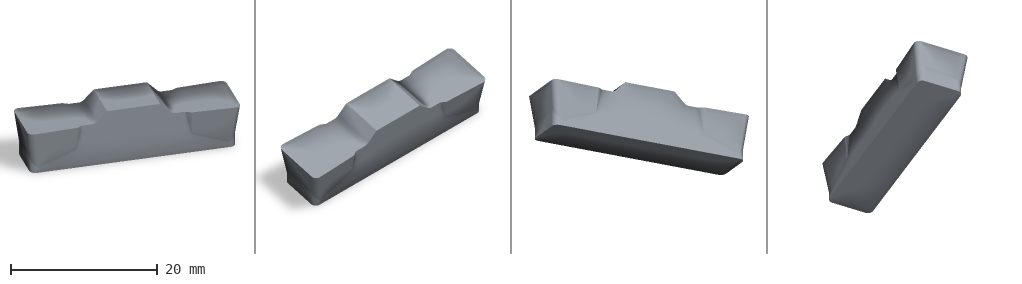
import cadquery as cq
import math

length = 30.2
height = 8.1
shelf_height = 6.37
body_width = 6.6
relief_angle = 7.0
corner_radius = 0.82

crown_length = 7.55
ramp_radius = 1.03

head_end_width = 8.12
head_neck_width = 7.5
head_length = 7.0
neck_angle = 30.0
head_embed = 0.3

body_end_height = 2.25
relief_slope = math.tan(math.radians(relief_angle))
body_length = length - 2 * (shelf_height - body_end_height) * relief_slope


def make_body():
    """Long bar with a raised crown and rounded vertical corners."""
    half_length = body_length / 2
    half_crown = crown_length / 2
    ramp_foot = half_crown + height - shelf_height
    profile = [
        (-half_length, 0),
        (half_length, 0),
        (half_length, shelf_height),
        (ramp_foot, shelf_height),
        (half_crown, height),
        (-half_crown, height),
        (-ramp_foot, shelf_height),
        (-half_length, shelf_height),
    ]
    body = cq.Workplane("YZ").polyline(profile).close().extrude(body_width / 2, both=True)
    body = body.edges("|Z").fillet(corner_radius)
    for y in (-ramp_foot, ramp_foot):
        foot_edge = cq.selectors.NearestToPointSelector((0, y, shelf_height))
        body = body.edges(foot_edge).fillet(ramp_radius)
    return body


def make_head():
    """Relieved cutting head at the -Y end, narrowing downward on all sides."""
    tip_y = -length / 2
    neck_y = tip_y + head_length
    half_end = head_end_width / 2
    half_neck = head_neck_width / 2
    half_inner = body_width / 2 - head_embed
    inner_y = neck_y + (half_neck - half_inner) / math.tan(math.radians(neck_angle))
    outline = [
        (-half_end, tip_y),
        (half_end, tip_y),
        (half_neck, neck_y),
        (half_inner, inner_y),
        (-half_inner, inner_y),
        (-half_neck, neck_y),
    ]
    head = (
        cq.Workplane("XY", origin=(0, 0, shelf_height))
        .polyline(outline)
        .close()
        .extrude(-shelf_height, taper=relief_angle)
    )
    middle_drop = shelf_height / 2
    middle_inset = middle_drop * relief_slope
    for side in (-1, 1):
        middle = (side * (half_end - middle_inset), tip_y + middle_inset, middle_drop)
        head = head.edges(cq.selectors.NearestToPointSelector(middle)).fillet(corner_radius)
    return head


head = make_head()
result = make_body().union(head).union(head.mirror("XZ")).clean()